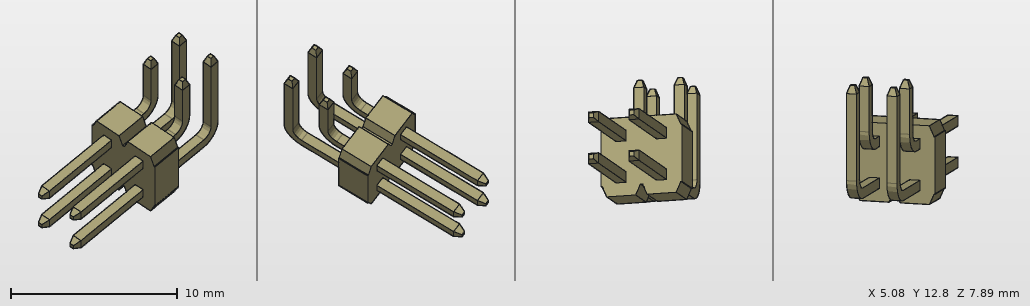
import cadquery as cq


columns = 2
pitch = 2.54

housing_width = columns * pitch
housing_depth = 2.12
housing_height = 4.81
notch_depth = 0.65
notch_mouth_half = 0.36
notch_floor_half = 0.06

pin_width = 0.64
pin_tip_width = 0.28
pin_tip_length = 0.48
bend_inner_radius = 0.64
bend_outer_radius = bend_inner_radius + pin_width
overall_depth = 12.76
overall_height = 7.89
front_reach = 6.05

pin_front_y = -front_reach
rear_pin_y = pin_front_y + overall_depth - pin_width / 2
pin_top_z = overall_height - housing_height / 2
lower_row_z = -pitch / 2
upper_row_z = pitch / 2
column_xs = [(i - (columns - 1) / 2) * pitch for i in range(columns)]
notch_xs = [(i - columns / 2) * pitch for i in range(columns + 1)]


def make_notch(x, side):
    """Tapered groove along Y in the top (side = 1) or bottom (side = -1) face."""
    face_z = side * housing_height / 2
    floor_z = face_z - side * notch_depth
    return (
        cq.Workplane("XZ")
        .polyline([
            (x - notch_mouth_half, face_z),
            (x - notch_floor_half, floor_z),
            (x + notch_floor_half, floor_z),
            (x + notch_mouth_half, face_z),
        ])
        .close()
        .extrude(-housing_depth)
    )


def make_housing():
    """Block with notches between the columns and half notches at its ends."""
    housing = cq.Workplane("XY").box(
        housing_width, housing_depth, housing_height, centered=(True, False, True)
    )
    for x in notch_xs:
        for side in (1, -1):
            housing = housing.cut(make_notch(x, side))
    return housing


def make_tip(plane):
    """Tapered pin end that starts at the plane's origin and follows its normal."""
    return (
        cq.Workplane(plane)
        .rect(pin_width, pin_width)
        .workplane(offset=pin_tip_length)
        .rect(pin_tip_width, pin_tip_width)
        .loft(ruled=True)
    )


def make_pin(x, row_z, leg_y):
    """Pin running back along Y at row_z, then bent upward at leg_y."""
    half = pin_width / 2
    shank_front_y = pin_front_y + pin_tip_length
    leg_top_z = pin_top_z - pin_tip_length
    shaft = (
        cq.Workplane("YZ", origin=(x - half, 0, 0))
        .moveTo(shank_front_y, row_z - half)
        .lineTo(leg_y + half - bend_outer_radius, row_z - half)
        .radiusArc((leg_y + half, row_z - half + bend_outer_radius), -bend_outer_radius)
        .lineTo(leg_y + half, leg_top_z)
        .lineTo(leg_y - half, leg_top_z)
        .lineTo(leg_y - half, row_z + half + bend_inner_radius)
        .radiusArc((leg_y - half - bend_inner_radius, row_z + half), bend_inner_radius)
        .lineTo(shank_front_y, row_z + half)
        .close()
        .extrude(pin_width)
    )
    front_plane = cq.Plane(origin=(x, shank_front_y, row_z), xDir=(1, 0, 0), normal=(0, -1, 0))
    top_plane = cq.Plane(origin=(x, leg_y, leg_top_z), xDir=(1, 0, 0), normal=(0, 0, 1))
    return shaft.union(make_tip(front_plane)).union(make_tip(top_plane))


result = make_housing()
for column_x in column_xs:
    result = result.union(make_pin(column_x, lower_row_z, rear_pin_y))
    result = result.union(make_pin(column_x, upper_row_z, rear_pin_y - pitch))